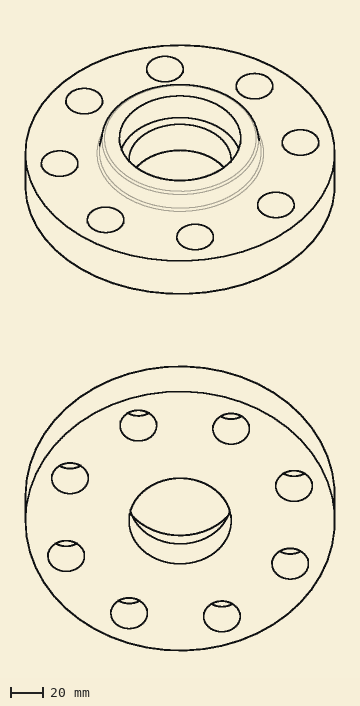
import cadquery as cq

flange_diameter = 190.5
flange_thickness = 28.4
overall_height = 41.1

hub_base_diameter = 100.0
hub_top_diameter = 96.0
hub_fillet_radius = 1.5

bore_diameter = 62.8
socket_diameter = 74.7
socket_depth = 18.7

bolt_count = 8
bolt_circle_diameter = 149.3
bolt_hole_diameter = 22.5


def make_disc():
    return cq.Workplane("XY").circle(flange_diameter / 2).extrude(flange_thickness)


def make_hub():
    """Truncated cone on a cylindrical core that reaches down through the disc."""
    return (
        cq.Workplane("XZ")
        .lineTo(hub_base_diameter / 2, 0)
        .lineTo(hub_base_diameter / 2, flange_thickness)
        .lineTo(hub_top_diameter / 2, overall_height)
        .lineTo(0, overall_height)
        .close()
        .revolve(360, (0, 0, 0), (0, 1, 0))
    )


def round_hub(body):
    """Fillet the hub root, then its top rim."""
    hub_root = cq.selectors.RadiusNthSelector(1)
    body = body.edges(hub_root).fillet(hub_fillet_radius)
    return body.faces(">Z").edges().fillet(hub_fillet_radius)


def cut_bore(body):
    body = body.faces(">Z").workplane().circle(socket_diameter / 2).cutBlind(-socket_depth)
    return body.cut(cq.Workplane("XY").circle(bore_diameter / 2).extrude(overall_height))


def cut_bolt_holes(body):
    holes = (
        cq.Workplane("XY")
        .polarArray(bolt_circle_diameter / 2, 0, 360, bolt_count)
        .circle(bolt_hole_diameter / 2)
        .extrude(flange_thickness)
    )
    return body.cut(holes)


blank = round_hub(make_disc().union(make_hub()))
result = cut_bolt_holes(cut_bore(blank))